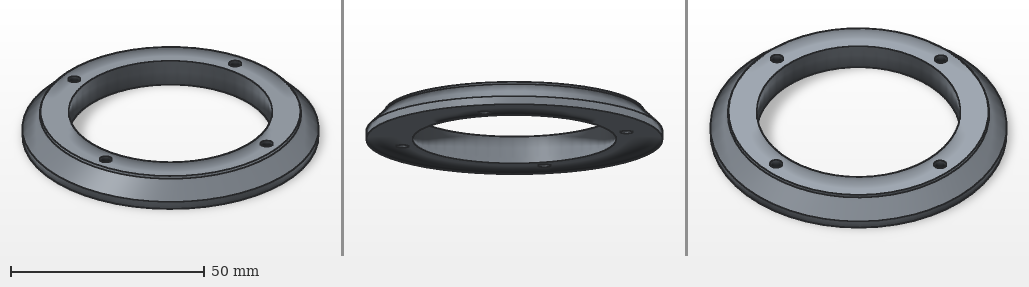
import cadquery as cq

outer_diameter = 76.6
bore_diameter = 52.6
height = 7.1

rim_height = 2.15
lip_height = 0.7
lip_base_diameter = 67.6
lip_top_diameter = 67.1

hole_count = 4
hole_diameter = 3.2
hole_circle_diameter = 59.9


def ring_body():
    """Revolve the half section of the ring about the Z axis."""
    bore_radius = bore_diameter / 2
    outer_radius = outer_diameter / 2
    lip_base_radius = lip_base_diameter / 2
    lip_top_radius = lip_top_diameter / 2
    section = (
        cq.Workplane("XZ")
        .moveTo(bore_radius, 0)
        .lineTo(outer_radius, 0)
        .lineTo(outer_radius, rim_height)
        .lineTo(lip_base_radius, height - lip_height)
        .lineTo(lip_top_radius, height)
        .lineTo(bore_radius, height)
        .close()
    )
    return section.revolve(360, (0, 0, 0), (0, 1, 0))


def mounting_holes():
    """Through-hole cutters, one on each of the +X, +Y, -X and -Y axes."""
    return (
        cq.Workplane("XY")
        .polarArray(hole_circle_diameter / 2, 0, 360, hole_count)
        .circle(hole_diameter / 2)
        .extrude(height)
    )


result = ring_body().cut(mounting_holes())